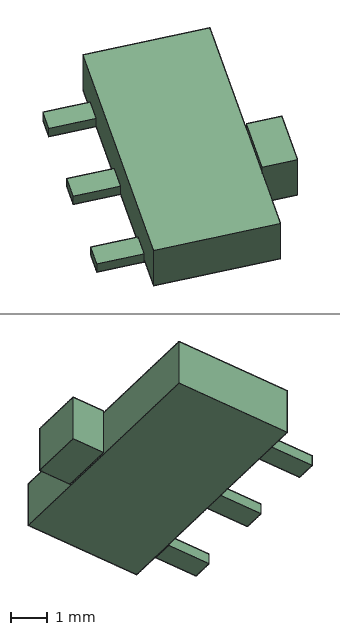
import cadquery as cq

housing_length = 7.16
housing_depth = 3.57
housing_height = 1.5
housing_left = -housing_length / 2
housing_front = -housing_depth / 2
housing_back = housing_depth / 2

tab_width = 1.6
tab_depth = 1.0
tab_gap = 0.04
tab_inset = 3.52

lead_length = 1.33
lead_height = 0.35
leads_layout = [
    (0.74, 0.6, 0.0),
    (3.165, 0.65, 0.0),
    (5.66, 0.62, 0.02),
]


def make_block(left, front, width, depth, height):
    """Box standing on Z = 0 with its left front corner at the given place."""
    return cq.Workplane("XY").box(width, depth, height, centered=False).translate((left, front, 0))


def make_housing():
    return make_block(housing_left, housing_front, housing_length, housing_depth, housing_height)


def make_tab():
    return make_block(housing_left + tab_inset, housing_back + tab_gap, tab_width, tab_depth, housing_height)


def make_lead(inset, width, gap):
    lead_front = housing_front - gap - lead_length
    return make_block(housing_left + inset, lead_front, width, lead_length, lead_height)


housing = make_housing()
tab = make_tab()
leads = [make_lead(inset, width, gap) for inset, width, gap in leads_layout]

result = cq.Compound.makeCompound([housing.val(), tab.val(), *[lead.val() for lead in leads]])